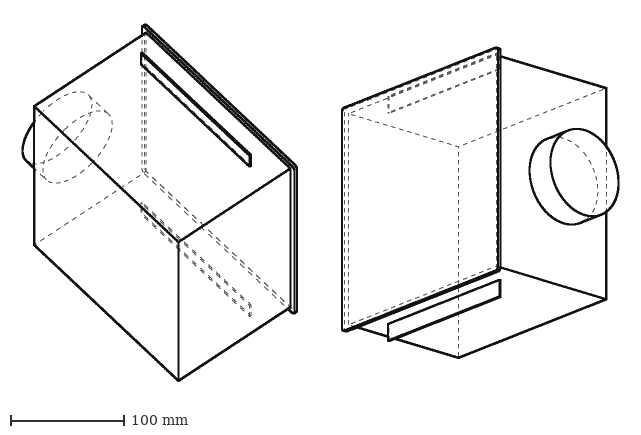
import cadquery as cq

overall_length = 232.7
overall_depth = 132.0
overall_height = 230.4

box_side = 199.0
flange_side = 210.1
flange_thickness = 3.0
flange_corner_radius = 3.5

spigot_diameter = 80.0
spigot_from_front = 50.0

tab_length = 149.9
tab_thickness = 1.5
tab_from_back = 28.6

box_depth = overall_depth - flange_thickness
spigot_length = overall_length - (flange_side + box_side) / 2


def make_box():
    return cq.Workplane("XY").box(box_side, box_depth, box_side, centered=(True, False, True))


def make_flange():
    plate = cq.Workplane("XY").box(
        flange_side, flange_thickness, flange_side, centered=(True, False, True)
    )
    return plate.edges("|Y").fillet(flange_corner_radius).translate((0, box_depth, 0))


def make_spigot():
    return (
        cq.Workplane("YZ", origin=(-box_side / 2, 0, 0))
        .center(spigot_from_front, 0)
        .circle(spigot_diameter / 2)
        .extrude(-spigot_length)
    )


def make_tab(side):
    """Tab standing on the top wall (side = 1) or the bottom wall (side = -1)."""
    tab_height = (overall_height - box_side) / 2
    tab_y = overall_depth - tab_from_back
    tab_z = side * (box_side + tab_height) / 2
    return cq.Workplane("XY").box(tab_length, tab_thickness, tab_height).translate((0, tab_y, tab_z))


result = make_box().union(make_flange()).union(make_spigot())
for side in (1, -1):
    result = result.union(make_tab(side))